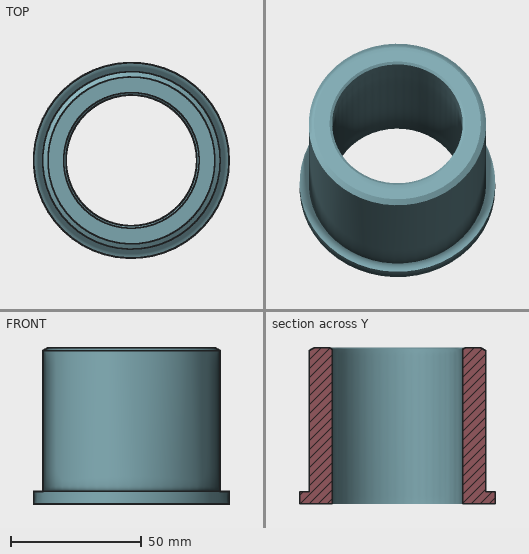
import cadquery as cq
import math

flange_diameter = 75.0
flange_thickness = 4.95
body_diameter = 68.0
bore_diameter = 50.0
total_height = 60.0

chamfer_slope = math.tan(math.radians(30))
outer_chamfer_width = 2.0
outer_chamfer_height = outer_chamfer_width * chamfer_slope
bore_chamfer_width = 1.0
bore_chamfer_height = bore_chamfer_width * chamfer_slope

flange_radius = flange_diameter / 2
body_radius = body_diameter / 2
bore_radius = bore_diameter / 2

half_section = [
    (bore_radius, 0),
    (flange_radius, 0),
    (flange_radius, flange_thickness),
    (body_radius, flange_thickness),
    (body_radius, total_height - outer_chamfer_height),
    (body_radius - outer_chamfer_width, total_height),
    (bore_radius + bore_chamfer_width, total_height),
    (bore_radius, total_height - bore_chamfer_height),
]

result = cq.Workplane("XZ").polyline(half_section).close().revolve(360, (0, 0), (0, 1))